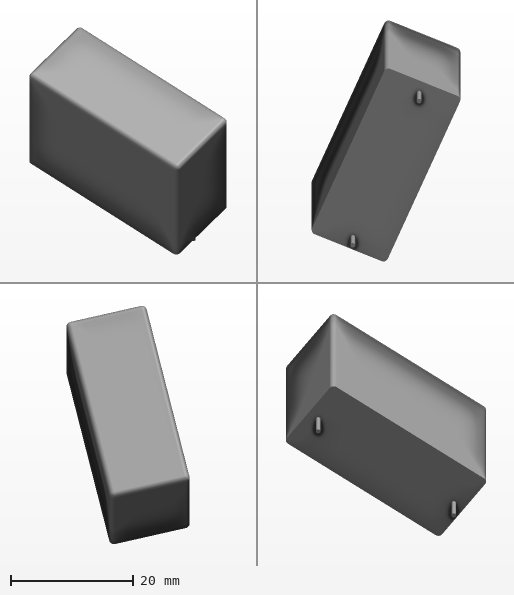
import cadquery as cq

BOX_LENGTH = 31.5
BOX_WIDTH = 13.5
BOX_HEIGHT = 23.0
EDGE_RADIUS = 0.8

LEAD_PITCH = 27.5
LEAD_DIAMETER = 0.8
LEAD_LENGTH = 3.8


def make_box():
    """Box standing on Z = 0, with every edge rounded except around the flat base."""
    return (
        cq.Workplane("XY")
        .box(BOX_LENGTH, BOX_WIDTH, BOX_HEIGHT, centered=(True, True, False))
        .edges("|Z or >Z")
        .fillet(EDGE_RADIUS)
    )


def make_lead(x):
    """Straight lead hanging from the base of the box at the given X."""
    return (
        cq.Workplane("XY")
        .center(x, 0)
        .circle(LEAD_DIAMETER / 2)
        .extrude(-LEAD_LENGTH)
    )


box = make_box()
leads = [make_lead(side * LEAD_PITCH / 2) for side in (-1, 1)]

result = cq.Compound.makeCompound([box.val(), *[lead.val() for lead in leads]])